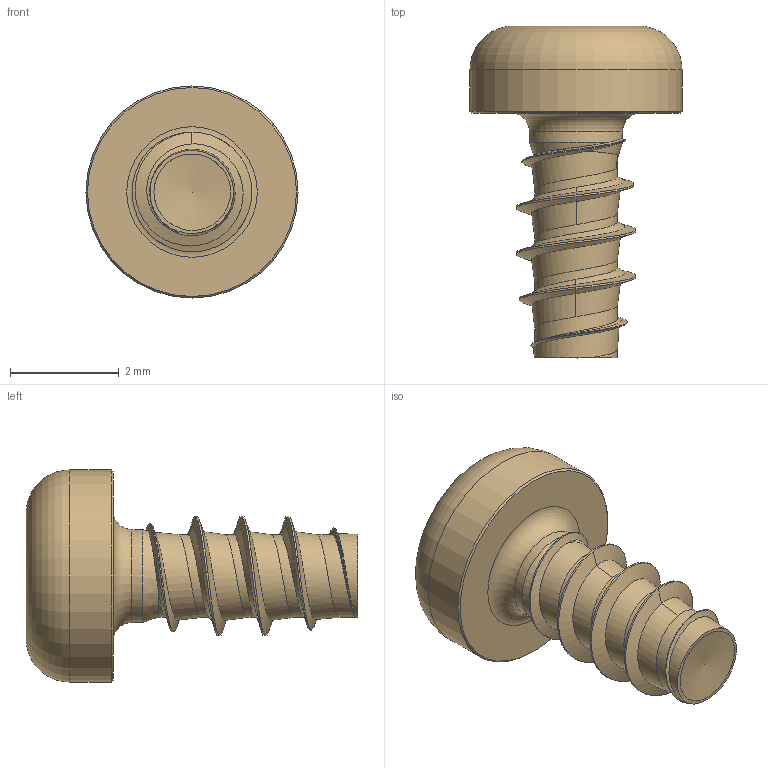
import cadquery as cq
import math


HEAD_RADIUS = 1.95
HEAD_HEIGHT = 1.6
HEAD_ROUND = HEAD_HEIGHT / 2
HEAD_EDGE_BREAK = 0.03

SHANK_LENGTH = 4.5
NECK_RADIUS = 0.855
NECK_FILLET = 0.345
NECK_LENGTH = 0.54
NECK_TAPER_LENGTH = 0.3
CORE_RADIUS = 0.762

TIP_RECESS_RADIUS = 0.71
TIP_RECESS_ANGLE = 6.0

PITCH = 0.8465
CREST_RADIUS = 1.1
CREST_HALF_WIDTH = 0.017
HEEL_OFFSET = 0.2
KNEE_OFFSET = 0.065
KNEE_RADIUS = 0.9
SHOULDER_OFFSET = 0.105
SHOULDER_RADIUS = 0.818
RAMP_END_OFFSET = 0.56
RAMP_END_DIP = 0.004
RAMP_END_RADIUS = CORE_RADIUS - RAMP_END_DIP
ROOT_RADIUS = 0.7

FIRST_CREST_DEPTH = 0.464
RUN_IN_START = 0.04
FULL_START = 1.25
FULL_END = 3.25
RUN_OUT_END = 4.7

FULL_SCALE = 1.0
RUN_IN_SCALE = 0.5
RUN_OUT_SCALE = 0.08

POINTS_PER_TURN = 24


def make_body():
    """Head, neck and core turned about the axis, with the dished tip."""
    recess_depth = TIP_RECESS_RADIUS * math.tan(math.radians(TIP_RECESS_ANGLE))
    diagonal = math.sqrt(0.5)
    round_mid = (
        HEAD_RADIUS - HEAD_ROUND * (1 - diagonal),
        HEAD_HEIGHT - HEAD_ROUND * (1 - diagonal),
    )
    fillet_mid = (
        NECK_RADIUS + NECK_FILLET * (1 - diagonal),
        -NECK_FILLET * (1 - diagonal),
    )
    outline = (
        cq.Workplane("XY")
        .moveTo(0, HEAD_HEIGHT)
        .lineTo(HEAD_RADIUS - HEAD_ROUND, HEAD_HEIGHT)
        .threePointArc(round_mid, (HEAD_RADIUS, HEAD_HEIGHT - HEAD_ROUND))
        .lineTo(HEAD_RADIUS, HEAD_EDGE_BREAK)
        .lineTo(HEAD_RADIUS - HEAD_EDGE_BREAK, 0)
        .lineTo(NECK_RADIUS + NECK_FILLET, 0)
        .threePointArc(fillet_mid, (NECK_RADIUS, -NECK_FILLET))
        .lineTo(NECK_RADIUS, -NECK_LENGTH)
        .lineTo(CORE_RADIUS, -NECK_LENGTH - NECK_TAPER_LENGTH)
        .lineTo(CORE_RADIUS, -SHANK_LENGTH)
        .lineTo(TIP_RECESS_RADIUS, -SHANK_LENGTH)
        .lineTo(0, -SHANK_LENGTH + recess_depth)
        .close()
    )
    return outline.revolve(360, (0, 0, 0), (0, 1, 0))


def ridge_profile(scale):
    """Corners (axial offset, radius) of the ridge at a given fraction of full height."""
    def radius(full_radius, part):
        return CORE_RADIUS + part * (full_radius - CORE_RADIUS)

    shoulder_scale = 1 - (1 - scale) ** 2
    return [
        (-HEEL_OFFSET * scale, ROOT_RADIUS),
        (-KNEE_OFFSET * scale, radius(KNEE_RADIUS, scale)),
        (-CREST_HALF_WIDTH * scale, radius(CREST_RADIUS, scale)),
        (CREST_HALF_WIDTH * scale, radius(CREST_RADIUS, scale)),
        (SHOULDER_OFFSET * scale, radius(SHOULDER_RADIUS, shoulder_scale)),
        (RAMP_END_OFFSET, RAMP_END_RADIUS),
        (RAMP_END_OFFSET, ROOT_RADIUS),
    ]


def place(corner, turn):
    """Point in space of a profile corner after a number of turns."""
    offset, radius = corner
    angle = 2 * math.pi * turn
    depth = FIRST_CREST_DEPTH + PITCH * turn + offset
    return cq.Vector(radius * math.cos(angle), -depth, radius * math.sin(angle))


def corner_path(start_corner, end_corner, start_turn, end_turn):
    """Helix that moves evenly from one profile corner to another."""
    steps = round(POINTS_PER_TURN * (end_turn - start_turn))
    points = []
    for step in range(steps + 1):
        part = step / steps
        corner = [a + part * (b - a) for a, b in zip(start_corner, end_corner)]
        points.append(place(corner, start_turn + part * (end_turn - start_turn)))
    return cq.Edge.makeSpline(points)


def make_ridge(start_turn, end_turn, start_scale, end_scale):
    """Solid stretch of thread between two turns."""
    start_profile = ridge_profile(start_scale)
    end_profile = ridge_profile(end_scale)
    paths = [
        corner_path(start, end, start_turn, end_turn)
        for start, end in zip(start_profile, end_profile)
    ]
    faces = [
        cq.Face.makeRuledSurface(path, following)
        for path, following in zip(paths, paths[1:] + paths[:1])
    ]
    for profile, turn in ((start_profile, start_turn), (end_profile, end_turn)):
        corners = [place(corner, turn) for corner in profile]
        faces.append(cq.Face.makeFromWires(cq.Wire.makePolygon(corners, close=True)))
    return cq.Workplane(cq.Solid.makeSolid(cq.Shell.makeShell(faces)))


def make_beyond_tip():
    """Block that trims the thread flush with the tip."""
    size = 2 * HEAD_RADIUS
    return cq.Workplane("XY").box(size, size, size).translate((0, -SHANK_LENGTH - size / 2, 0))


result = make_body()
stretches = [
    (RUN_IN_START, FULL_START, RUN_IN_SCALE, FULL_SCALE),
    (FULL_START, FULL_END, FULL_SCALE, FULL_SCALE),
    (FULL_END, RUN_OUT_END, FULL_SCALE, RUN_OUT_SCALE),
]
for stretch in stretches:
    result = result.union(make_ridge(*stretch).cut(make_beyond_tip()))